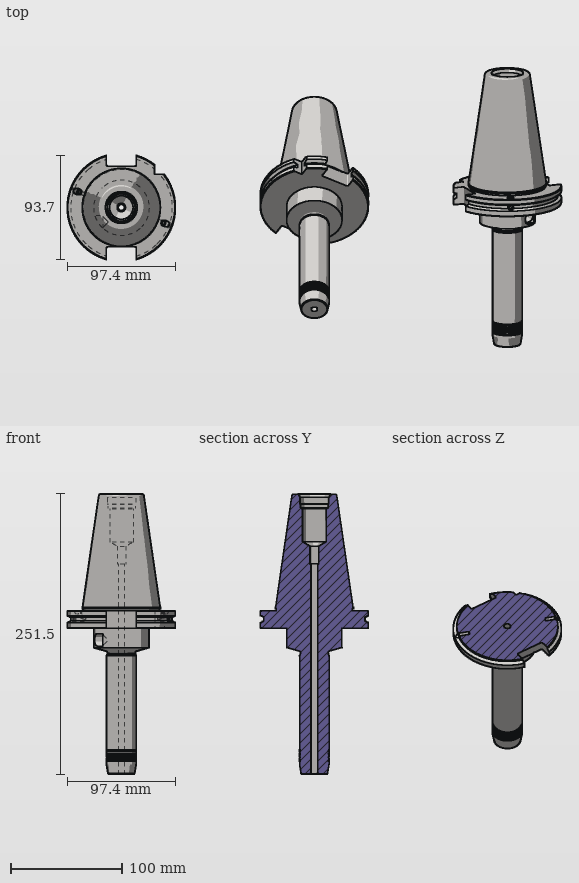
import cadquery as cq
import math


TOTAL_LENGTH = 251.5
TAPER_LENGTH = 101.6
TAPER_GAUGE_RADIUS = 35.0
TAPER_RADIUS_SLOPE = 7 / 48
TAPER_TIP_RADIUS = TAPER_GAUGE_RADIUS - TAPER_LENGTH * TAPER_RADIUS_SLOPE
TIP_ROUND = 2.0
LIP_RADIUS = 35.2
LIP_BOTTOM_Z = -1.5
RECESS_RADIUS = 34.5

FLANGE_DIAMETER = 97.4
FLANGE_RADIUS = FLANGE_DIAMETER / 2
FLANGE_TOP_Z = -3.3
FLANGE_BOTTOM_Z = -19.0
FLANGE_CHAMFER = 0.63
GROOVE_RADIUS = 45.5
GROOVE_MIDDLE_Z = -10.8
GROOVE_FLOOR_WIDTH = 3.0
GROOVE_MOUTH_WIDTH = 6.3

SLOT_WIDTH = 26.7
SLOT_CORNER_RADIUS = 1.0
FRONT_SLOT_FLOOR_Y = 35.5
BACK_SLOT_FLOOR_Y = 37.2
NOTCH_CORNER = 30.0

COLLAR_RADIUS = 25.0
COLLAR_BOTTOM_Z = -36.5
TUBE_DIAMETER = 27.0
TUBE_RADIUS = TUBE_DIAMETER / 2
NECK_RADIUS = 12.8
NECK_ROUND_TOP_Z = -39.8
NECK_TOP_Z = -41.5
NECK_BOTTOM_Z = -42.3
TUBE_TOP_Z = -43.5

TUBE_BOTTOM_Z = TAPER_LENGTH - TOTAL_LENGTH
RING_COUNT = 4
RING_PITCH = 3.0
RING_WIDTH = 1.5
RING_DEPTH = 0.8
FIRST_RING_Z = -128.8
NOSE_TOP_Z = -141.1
NOSE_END_RADIUS = 12.0
NOSE_CHAMFER = 0.63

MOUTH_RADIUS = 14.3
PILOT_RADIUS = 12.8
GUIDE_RADIUS = 12.3
THREAD_RADIUS = 10.5
FEED_RADIUS = 3.8
COOLANT_RADIUS = 2.8
MOUTH_DEPTH = 3.0
PILOT_DEPTH = 8.8
GUIDE_DEPTH = 12.3
THREAD_DEPTH = 42.8
FEED_DEPTH = 63
STEP_ANGLE = 45
SEAT_ANGLE = 60
DRILL_POINT_ANGLE = 59

COOLANT_HOLE_CIRCLE_RADIUS = 42.0
COOLANT_HOLE_ANGLES = (160, 340)
COOLANT_HOLE_TILT = 40
COOLANT_HOLE_RADIUS = 2.8
COOLANT_HOLE_DEPTH = 2.8
COOLANT_DRILL_RADIUS = 1.5
CROSS_HOLE_RADIUS = 2.5
CROSS_HOLE_DEPTH = 1.0
CROSS_HOLE_Z = -11.0

POCKET_WIDTH = 11.3
POCKET_Y = -12.8
POCKET_Z = -29.5
POCKET_FLOOR_X = -16.5
POCKET_CONE_RADIUS = 4.8
POCKET_CONE_ANGLE = 45


def cone_height(large_radius, small_radius, half_angle):
    """Axial length of a cone between two radii."""
    return (large_radius - small_radius) / math.tan(math.radians(half_angle))


def revolve(profile):
    """Turn a closed (radius, z) profile about the spindle axis."""
    return profile.close().revolve(360, (0, 0, 0), (0, 1, 0))


def make_body():
    groove_floor_top = GROOVE_MIDDLE_Z + GROOVE_FLOOR_WIDTH / 2
    groove_floor_bottom = GROOVE_MIDDLE_Z - GROOVE_FLOOR_WIDTH / 2
    groove_mouth_top = GROOVE_MIDDLE_Z + GROOVE_MOUTH_WIDTH / 2
    groove_mouth_bottom = GROOVE_MIDDLE_Z - GROOVE_MOUTH_WIDTH / 2
    profile = (
        cq.Workplane("XZ")
        .moveTo(0, TAPER_LENGTH)
        .lineTo(TAPER_TIP_RADIUS, TAPER_LENGTH)
        .lineTo(TAPER_GAUGE_RADIUS, 0)
        .lineTo(LIP_RADIUS, 0)
        .lineTo(LIP_RADIUS, LIP_BOTTOM_Z)
        .lineTo(RECESS_RADIUS, LIP_BOTTOM_Z)
        .lineTo(RECESS_RADIUS, FLANGE_TOP_Z)
        .lineTo(FLANGE_RADIUS - FLANGE_CHAMFER, FLANGE_TOP_Z)
        .lineTo(FLANGE_RADIUS, FLANGE_TOP_Z - FLANGE_CHAMFER)
        .lineTo(FLANGE_RADIUS, groove_mouth_top)
        .lineTo(GROOVE_RADIUS, groove_floor_top)
        .lineTo(GROOVE_RADIUS, groove_floor_bottom)
        .lineTo(FLANGE_RADIUS, groove_mouth_bottom)
        .lineTo(FLANGE_RADIUS, FLANGE_BOTTOM_Z + FLANGE_CHAMFER)
        .lineTo(FLANGE_RADIUS - FLANGE_CHAMFER, FLANGE_BOTTOM_Z)
        .lineTo(COLLAR_RADIUS, FLANGE_BOTTOM_Z)
        .lineTo(COLLAR_RADIUS, COLLAR_BOTTOM_Z)
        .lineTo(TUBE_RADIUS, NECK_ROUND_TOP_Z)
        .tangentArcPoint((NECK_RADIUS, NECK_TOP_Z), relative=False)
        .lineTo(NECK_RADIUS, NECK_BOTTOM_Z)
        .lineTo(TUBE_RADIUS, TUBE_TOP_Z)
        .lineTo(TUBE_RADIUS, NOSE_TOP_Z)
        .lineTo(NOSE_END_RADIUS, TUBE_BOTTOM_Z + NOSE_CHAMFER)
        .lineTo(NOSE_END_RADIUS - NOSE_CHAMFER, TUBE_BOTTOM_Z)
        .lineTo(0, TUBE_BOTTOM_Z)
    )
    return revolve(profile).faces(">Z").edges().fillet(TIP_ROUND)


def make_ring_grooves():
    """V-shaped grooves around the end of the tube."""
    grooves = cq.Workplane("XY")
    for index in range(RING_COUNT):
        middle_z = FIRST_RING_Z - index * RING_PITCH
        profile = (
            cq.Workplane("XZ")
            .moveTo(TUBE_RADIUS, middle_z + RING_WIDTH / 2)
            .lineTo(TUBE_RADIUS - RING_DEPTH, middle_z)
            .lineTo(TUBE_RADIUS, middle_z - RING_WIDTH / 2)
        )
        grooves = grooves.add(revolve(profile))
    return grooves.combine()


def make_central_bore():
    pilot_z = TAPER_LENGTH - PILOT_DEPTH
    guide_z = TAPER_LENGTH - GUIDE_DEPTH
    thread_z = TAPER_LENGTH - THREAD_DEPTH
    feed_z = TAPER_LENGTH - FEED_DEPTH
    profile = (
        cq.Workplane("XZ")
        .moveTo(0, TAPER_LENGTH)
        .lineTo(MOUTH_RADIUS, TAPER_LENGTH)
        .lineTo(PILOT_RADIUS, TAPER_LENGTH - MOUTH_DEPTH)
        .lineTo(PILOT_RADIUS, pilot_z)
        .lineTo(GUIDE_RADIUS, pilot_z - cone_height(PILOT_RADIUS, GUIDE_RADIUS, STEP_ANGLE))
        .lineTo(GUIDE_RADIUS, guide_z)
        .lineTo(THREAD_RADIUS, guide_z - cone_height(GUIDE_RADIUS, THREAD_RADIUS, SEAT_ANGLE))
        .lineTo(THREAD_RADIUS, thread_z)
        .lineTo(FEED_RADIUS, thread_z - cone_height(THREAD_RADIUS, FEED_RADIUS, DRILL_POINT_ANGLE))
        .lineTo(FEED_RADIUS, feed_z)
        .lineTo(COOLANT_RADIUS, feed_z)
        .lineTo(COOLANT_RADIUS, TUBE_BOTTOM_Z)
        .lineTo(0, TUBE_BOTTOM_Z)
    )
    return revolve(profile)


def make_drive_slot(side, floor_y):
    """Slot through the flange on the +Y (side = 1) or -Y (side = -1) side."""
    height = FLANGE_TOP_Z - FLANGE_BOTTOM_Z
    length = FLANGE_RADIUS
    return (
        cq.Workplane("XY", origin=(0, side * (floor_y + length / 2), FLANGE_BOTTOM_Z))
        .rect(SLOT_WIDTH, length)
        .extrude(height)
        .edges("|Z")
        .fillet(SLOT_CORNER_RADIUS)
    )


def make_notch():
    return (
        cq.Workplane("XY", origin=(NOTCH_CORNER, NOTCH_CORNER, FLANGE_BOTTOM_Z))
        .rect(FLANGE_RADIUS, FLANGE_RADIUS, centered=False)
        .extrude(FLANGE_TOP_Z - FLANGE_BOTTOM_Z)
    )


def make_coolant_hole(angle):
    """Stepped hole tilted toward the axis, met by a radial hole from the gripper groove."""
    tilt = math.radians(COOLANT_HOLE_TILT)
    mouth = cq.Vector(COOLANT_HOLE_CIRCLE_RADIUS, 0, FLANGE_TOP_Z)
    direction = cq.Vector(-math.sin(tilt), 0, -math.cos(tilt))
    outward = cq.Vector(1, 0, 0)
    drill_length = (FLANGE_TOP_Z - CROSS_HOLE_Z) / math.cos(tilt)
    drill_end = mouth + direction * drill_length
    lead = COOLANT_HOLE_RADIUS
    step = cq.Solid.makeCylinder(
        COOLANT_HOLE_RADIUS, COOLANT_HOLE_DEPTH + lead, mouth - direction * lead, direction
    )
    drill = cq.Solid.makeCylinder(COOLANT_DRILL_RADIUS, drill_length, mouth, direction)
    cross_step_start = cq.Vector(GROOVE_RADIUS - CROSS_HOLE_DEPTH, 0, CROSS_HOLE_Z)
    cross_step = cq.Solid.makeCylinder(
        CROSS_HOLE_RADIUS, FLANGE_RADIUS - cross_step_start.x, cross_step_start, outward
    )
    cross_drill = cq.Solid.makeCylinder(
        COOLANT_DRILL_RADIUS, FLANGE_RADIUS - drill_end.x, drill_end, outward
    )
    hole = cq.Workplane(step)
    for bore in (drill, cross_step, cross_drill):
        hole = hole.union(cq.Workplane(bore))
    return hole.rotate((0, 0, 0), (0, 0, 1), angle)


def make_pocket():
    """Round-ended pocket, open toward -X and -Y, with a drill point in its floor."""
    depth = COLLAR_RADIUS + POCKET_FLOOR_X
    plane = cq.Workplane("YZ", origin=(POCKET_FLOOR_X, POCKET_Y, POCKET_Z))
    round_end = plane.circle(POCKET_WIDTH / 2).extrude(-depth)
    opening = plane.center(-COLLAR_RADIUS / 2, 0).rect(COLLAR_RADIUS, POCKET_WIDTH).extrude(-depth)
    drill_point = cq.Solid.makeCone(
        POCKET_CONE_RADIUS,
        0,
        cone_height(POCKET_CONE_RADIUS, 0, POCKET_CONE_ANGLE),
        cq.Vector(POCKET_FLOOR_X, POCKET_Y, POCKET_Z),
        cq.Vector(1, 0, 0),
    )
    return round_end.union(opening).union(cq.Workplane(drill_point))


result = make_body().cut(make_ring_grooves()).cut(make_central_bore())
result = result.cut(make_drive_slot(-1, FRONT_SLOT_FLOOR_Y))
result = result.cut(make_drive_slot(1, BACK_SLOT_FLOOR_Y))
result = result.cut(make_notch()).cut(make_pocket())
for hole_angle in COOLANT_HOLE_ANGLES:
    result = result.cut(make_coolant_hole(hole_angle))